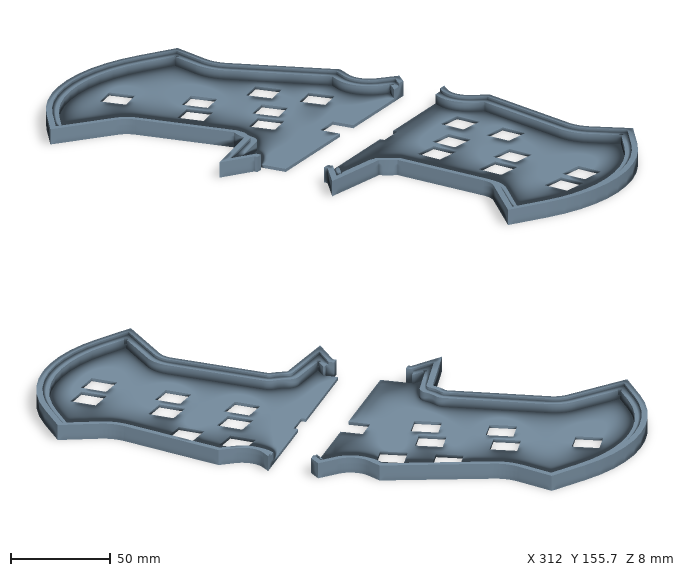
import cadquery as cq
import math


TOTAL_HEIGHT = 8.0
FLOOR_THICKNESS = 1.62
LEDGE_DROP = 1.62
LEDGE_Z = TOTAL_HEIGHT - LEDGE_DROP

RIM_WIDTH = 3.0
WALL_WIDTH = 6.5

LOWER_LEFT = (-129.5, -74.0)
UPPER_LEFT = (-129.0, 62.0)
UPPER_VALLEY = (-102.7, 52.0)
UPPER_PEAK = (-41.8, 72.5)
INNER_VALLEY = (-26.2, 62.0)
INNER_PEAK = (-11.2, 78.0)
LOWER_VALLEY = (-103.3, -41.8)
LOWER_KNEE = (-46.0, -34.5)
LEG_TOP = (-37.8, -39.0)
LEG_TIP = (-31.5, -77.7)
WIDE_VALLEY_RADIUS = 18.7
VALLEY_RADIUS = 12.0
KNEE_SAG = 0.5

SIDE_MIDDLE = (-156.0, -6.2)
SIDE_RADIUS = 90.2

FLOOR_EDGE_Y = -54.5
SLOT_WIDTH = 2.8
SLOT_END_X = -22.5
TAB_END_X = -18.5
TAB_FLAT_X = -20.3
TAB_BOTTOM_Y = -61.5
OPEN_X = 12.5
INNER_PEAK_SLOPE = 1.1
OPENING_START_X = -26.5
OPENING_TOP_Y = 37.5

NOTCH_SIZE = 14.0
NOTCH_CENTER_Y = 11.2

SCREW_DIAMETER = 2.12
SCREW_DEPTH = 3.0
SCREW_POINTS = [(-125.8, 55.2), (-129.0, -62.7), (-27.5, -61.0), (-10.5, 68.7)]

SWITCH_SIZE = 14.0
SWITCH_TILT = 8.0
LEFT_SWITCHES = [
    (-40.3, 44.3), (-68.5, 40.3), (-53.0, 18.0), (-90.5, 12.8),
    (-45.5, 0.0), (-83.3, -5.3), (-129.2, -2.2),
]
RIGHT_SWITCHES = [
    (40.0, 46.5), (68.0, 42.5), (48.5, 21.2), (50.2, 2.0),
    (85.8, 16.0), (88.0, -3.7), (128.3, 10.0), (128.3, -9.0),
]

LEFT_JOINT_X = -6.0
LEFT_NOTCH_X = -17.5
RIGHT_JOINT_X = 15.5
RIGHT_NOTCH_X = 18.0
RIGHT_RISE = 2.2
CUTTER_SIZE = 312.0


def rounded_corner(before, corner, after, radius):
    """Start, middle and end of the arc that rounds a corner."""
    vertex = cq.Vector(*corner)
    back = (cq.Vector(*before) - vertex).normalized()
    ahead = (cq.Vector(*after) - vertex).normalized()
    half_angle = back.getAngle(ahead) / 2
    tangent = radius / math.tan(half_angle)
    to_middle = radius / math.sin(half_angle) - radius
    points = (
        vertex + back * tangent,
        vertex + (back + ahead).normalized() * to_middle,
        vertex + ahead * tangent,
    )
    return [(point.x, point.y) for point in points]


def side_tangent_point(corner):
    """Point where the straight edge from a corner meets the bowed side."""
    center_x = SIDE_MIDDLE[0] + SIDE_RADIUS
    center_y = SIDE_MIDDLE[1]
    run = corner[0] - center_x
    rise = corner[1] - center_y
    swing = math.acos(SIDE_RADIUS / math.hypot(run, rise))
    angle = math.atan2(rise, run) + math.copysign(swing, rise)
    return (center_x + SIDE_RADIUS * math.cos(angle), center_y + SIDE_RADIUS * math.sin(angle))


def outline(inner_end):
    """Closed outline; inner_end lists the points from the leg tip round to the open side."""
    open_corner = (OPEN_X, INNER_PEAK[1] - INNER_PEAK_SLOPE * (OPEN_X - INNER_PEAK[0]))
    upper = rounded_corner(UPPER_LEFT, UPPER_VALLEY, UPPER_PEAK, WIDE_VALLEY_RADIUS)
    inner = rounded_corner(UPPER_PEAK, INNER_VALLEY, INNER_PEAK, VALLEY_RADIUS)
    lower = rounded_corner(LOWER_KNEE, LOWER_VALLEY, LOWER_LEFT, VALLEY_RADIUS)
    path = cq.Workplane("XY").moveTo(*LOWER_LEFT).lineTo(*side_tangent_point(LOWER_LEFT))
    path = path.threePointArc(SIDE_MIDDLE, side_tangent_point(UPPER_LEFT)).lineTo(*UPPER_LEFT)
    path = path.lineTo(*upper[0]).threePointArc(upper[1], upper[2]).lineTo(*UPPER_PEAK)
    path = path.lineTo(*inner[0]).threePointArc(inner[1], inner[2]).lineTo(*INNER_PEAK)
    path = path.lineTo(*open_corner)
    for point in reversed(inner_end):
        path = path.lineTo(*point)
    path = path.lineTo(*LEG_TIP).lineTo(*LEG_TOP).sagittaArc(LOWER_KNEE, KNEE_SAG)
    return path.lineTo(*lower[0]).threePointArc(lower[1], lower[2]).close()


def blank():
    """Full-height block with the slot and tab at its inner end."""
    tab_top_y = FLOOR_EDGE_Y - SLOT_WIDTH
    inner_end = [
        (TAB_FLAT_X, TAB_BOTTOM_Y),
        (TAB_END_X, TAB_BOTTOM_Y),
        (TAB_END_X, tab_top_y),
        (SLOT_END_X, tab_top_y),
        (SLOT_END_X, FLOOR_EDGE_Y),
        (OPEN_X, FLOOR_EDGE_Y),
    ]
    return outline(inner_end).extrude(TOTAL_HEIGHT)


def pocket(wall_width, bottom_z):
    """Space inside a wall of the given width, open to the joint edge above the floor edge."""
    slope = (TAB_BOTTOM_Y - LEG_TIP[1]) / (TAB_FLAT_X - LEG_TIP[0])
    leg_line_end = (OPEN_X, LEG_TIP[1] + slope * (OPEN_X - LEG_TIP[0]))
    depth = TOTAL_HEIGHT - bottom_z
    inside = outline([leg_line_end]).offset2D(-wall_width, "arc").extrude(depth)
    opening = cq.Workplane("XY").box(
        OPEN_X - OPENING_START_X, OPENING_TOP_Y - FLOOR_EDGE_Y, depth, centered=False
    ).translate((OPENING_START_X, FLOOR_EDGE_Y, 0))
    return inside.union(opening).translate((0, 0, bottom_z))


def screw_holes():
    """Blind holes sunk from the ledge."""
    holes = cq.Workplane("XY").pushPoints(SCREW_POINTS).circle(SCREW_DIAMETER / 2)
    holes = holes.extrude(LEDGE_DROP + SCREW_DEPTH)
    return holes.translate((0, 0, LEDGE_Z - SCREW_DEPTH))


def tray_half(joint_x, notch_x):
    """Left-hand tray half, ending at joint_x with a notch reaching back to notch_x."""
    half = blank()
    half = half.cut(pocket(RIM_WIDTH, LEDGE_Z))
    half = half.cut(pocket(WALL_WIDTH, FLOOR_THICKNESS))
    half = half.cut(screw_holes())
    reach = CUTTER_SIZE / 2
    beyond_joint = cq.Workplane("XY").box(CUTTER_SIZE, CUTTER_SIZE, CUTTER_SIZE)
    beyond_joint = beyond_joint.translate((joint_x + reach, 0, 0))
    notch = cq.Workplane("XY").box(CUTTER_SIZE, NOTCH_SIZE, CUTTER_SIZE)
    notch = notch.translate((notch_x + reach, NOTCH_CENTER_Y, 0))
    return half.cut(beyond_joint).cut(notch)


def switch_openings(points, tilt):
    """Tilted square prisms through the floor."""
    openings = cq.Workplane("XY")
    for x, y in points:
        opening = cq.Workplane("XY").rect(SWITCH_SIZE, SWITCH_SIZE).extrude(TOTAL_HEIGHT)
        openings = openings.add(opening.rotate((0, 0, 0), (0, 0, 1), tilt).translate((x, y, 0)))
    return openings.combine()


left_half = tray_half(LEFT_JOINT_X, LEFT_NOTCH_X)
left_half = left_half.cut(switch_openings(LEFT_SWITCHES, SWITCH_TILT))

right_half = tray_half(-RIGHT_JOINT_X, -RIGHT_NOTCH_X).mirror("YZ").translate((0, RIGHT_RISE, 0))
right_half = right_half.cut(switch_openings(RIGHT_SWITCHES, -SWITCH_TILT))

result = cq.Compound.makeCompound([left_half.val(), right_half.val()])